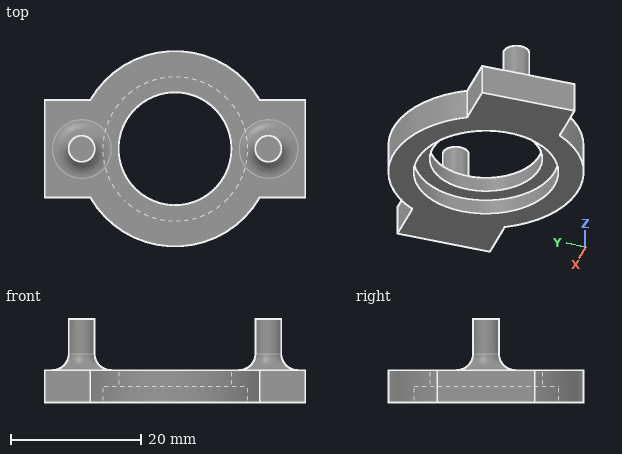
import cadquery as cq

length = 40.0
ring_diameter = 0.75 * length
bar_width = ring_diameter / 2
bore_diameter = 17.3
plate_thickness = 5.0

recess_diameter = 22.2
recess_depth = plate_thickness / 2

total_height = 12.85
pin_diameter = 4.0
pin_offset = 14.3
flare_radius = plate_thickness / 2


def make_plate():
    ring = cq.Workplane("XY").circle(ring_diameter / 2).extrude(plate_thickness)
    bar = cq.Workplane("XY").rect(length, bar_width).extrude(plate_thickness)
    bore = cq.Workplane("XY").circle(bore_diameter / 2).extrude(plate_thickness)
    recess = cq.Workplane("XY").circle(recess_diameter / 2).extrude(recess_depth)
    return ring.union(bar).cut(bore).cut(recess)


def make_pin(x):
    """Revolve a pin whose foot flares out with a concave quarter round."""
    pin_radius = pin_diameter / 2
    foot_radius = pin_radius + flare_radius
    flare_top = plate_thickness + flare_radius
    flare_start = (foot_radius, plate_thickness)
    flare_end = (pin_radius, flare_top)
    profile = (
        cq.Workplane("XZ")
        .moveTo(0, plate_thickness / 2)
        .lineTo(foot_radius, plate_thickness / 2)
        .lineTo(*flare_start)
        .radiusArc(flare_end, flare_radius)
        .lineTo(pin_radius, total_height)
        .lineTo(0, total_height)
        .close()
    )
    return profile.revolve(360, (0, 0), (0, 1)).translate((x, 0, 0))


result = make_plate()
for pin_x in (-pin_offset, pin_offset):
    result = result.union(make_pin(pin_x))